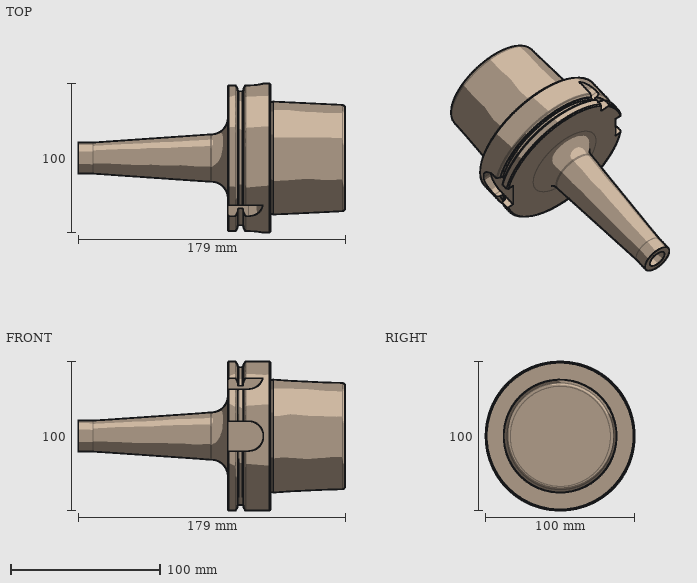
import cadquery as cq
import math

nose_length = 9.8
blend_radius = 11.0
cone_land_length = 0.7
flange_start = 100.2
flange_end = 129.0
taper_start = 130.7
total_length = 179.0

nose_radius = 21.0 / 2
cone_end_radius = 31.9 / 2
flange_radius = 100.0 / 2
neck_radius = 75.4 / 2
taper_start_radius = 38.0
taper_end_radius = 35.6
flange_chamfer = 0.9
taper_end_fillet = 2.1

bore_radius = 12.5 / 2
bore_depth = 6.6

groove_center = 108.8
groove_floor_width = 4.0
groove_mouth_width = 6.5
groove_floor_radius = 46.2
groove_flank_radius = 47.8
groove_edge_fillet = 0.7
groove_floor_fillet = 0.9

cutter_radius = 10.0
slot_end = 124.2
slot_floor = 43.9
front_slot_width = 2 * cutter_radius
rear_slot_width = 22.2
notch_offset = 31.5
notch_end = slot_end


def turned_body():
    """Nose, slender cone, blend, flange, neck and shank taper as one revolved outline."""
    blend_start = flange_start - blend_radius
    blend_outer_radius = cone_end_radius + blend_radius
    blend_mid = (
        blend_start + blend_radius * math.sin(math.pi / 4),
        blend_outer_radius - blend_radius * math.cos(math.pi / 4),
    )
    body = (
        cq.Workplane("XY")
        .moveTo(0, 0)
        .lineTo(0, nose_radius)
        .lineTo(nose_length, nose_radius)
        .lineTo(blend_start - cone_land_length, cone_end_radius)
        .lineTo(blend_start, cone_end_radius)
        .threePointArc(blend_mid, (flange_start, blend_outer_radius))
        .lineTo(flange_start, flange_radius - flange_chamfer)
        .lineTo(flange_start + flange_chamfer, flange_radius)
        .lineTo(flange_end - flange_chamfer, flange_radius)
        .lineTo(flange_end, flange_radius - flange_chamfer)
        .lineTo(flange_end, neck_radius)
        .lineTo(taper_start, neck_radius)
        .lineTo(taper_start, taper_start_radius)
        .lineTo(total_length, taper_end_radius)
        .lineTo(total_length, 0)
        .close()
        .revolve(360, (0, 0, 0), (1, 0, 0))
    )
    return body.faces(">X").edges().fillet(taper_end_fillet)


def cut_groove(body):
    """Groove with straight lower walls, sloping flanks and rounded corners."""
    half_floor = groove_floor_width / 2
    half_mouth = groove_mouth_width / 2
    groove = (
        cq.Workplane("XY")
        .moveTo(groove_center - half_floor, groove_floor_radius)
        .lineTo(groove_center - half_floor, groove_flank_radius)
        .lineTo(groove_center - half_mouth, flange_radius)
        .lineTo(groove_center + half_mouth, flange_radius)
        .lineTo(groove_center + half_floor, groove_flank_radius)
        .lineTo(groove_center + half_floor, groove_floor_radius)
        .close()
        .revolve(360, (0, 0, 0), (1, 0, 0))
    )
    body = body.cut(groove)

    def groove_edges(half_width, radius):
        return [
            edge
            for edge in body.edges("%CIRCLE").vals()
            if math.isclose(edge.radius(), radius, abs_tol=0.002)
            and math.isclose(abs(edge.Center().x - groove_center), half_width, abs_tol=0.002)
        ]

    floor_edges = groove_edges(half_floor, groove_floor_radius)
    mouth_edges = groove_edges(half_mouth, flange_radius)
    body = body.newObject(floor_edges).fillet(groove_floor_fillet)
    return body.newObject(mouth_edges).fillet(groove_edge_fillet)


def drive_slot(width, side):
    """Slot open at the flange face, rounded at its end; side is -1 for -Y or 1 for +Y."""
    half_width = width / 2
    straight_end = slot_end - cutter_radius
    flat_half = half_width - cutter_radius
    slot = (
        cq.Workplane("XZ", origin=(0, side * slot_floor, 0))
        .rect(2 * straight_end, width)
        .extrude(-side * flange_radius)
    )
    for corner in (-flat_half, flat_half):
        end_round = (
            cq.Workplane("XZ", origin=(0, side * slot_floor, 0))
            .center(straight_end, corner)
            .circle(cutter_radius)
            .extrude(-side * flange_radius)
        )
        slot = slot.union(end_round)
    if flat_half > 0:
        end_flat = (
            cq.Workplane("XZ", origin=(0, side * slot_floor, 0))
            .rect(2 * slot_end, 2 * flat_half)
            .extrude(-side * flange_radius)
        )
        slot = slot.union(end_flat)
    return slot


def corner_notch():
    """Square notch on the -Y, +Z side whose floor curves up at its end."""
    round_start = notch_end - cutter_radius
    round_center_z = notch_offset + cutter_radius
    round_mid = (
        round_start + cutter_radius * math.sin(math.pi / 4),
        round_center_z - cutter_radius * math.cos(math.pi / 4),
    )
    return (
        cq.Workplane("XZ", origin=(0, -notch_offset, 0))
        .moveTo(0, notch_offset)
        .lineTo(round_start, notch_offset)
        .threePointArc(round_mid, (notch_end, round_center_z))
        .lineTo(notch_end, flange_radius)
        .lineTo(0, flange_radius)
        .close()
        .extrude(flange_radius)
    )


bore = cq.Workplane("YZ").circle(bore_radius).extrude(bore_depth)

result = (
    cut_groove(turned_body())
    .cut(bore)
    .cut(drive_slot(front_slot_width, -1))
    .cut(drive_slot(rear_slot_width, 1))
    .cut(corner_notch())
)